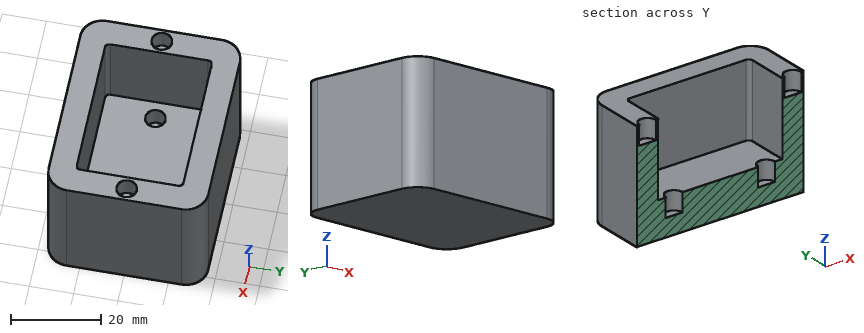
import cadquery as cq

length = 46.0
width = 36.0
height = 30.0
corner_radius = 5.0

wall = 6.0
pocket_length = length - 2 * wall
pocket_width = width - 2 * wall
pocket_depth = 20.0
pocket_corner_radius = 1.0

hole_diameter = 4.5
hole_depth = 5.0
rim_hole_spacing = 40.0
floor_hole_spacing = 25.45

floor_height = height - pocket_depth


def rounded_block(x_size, y_size, z_size, radius):
    """Block standing on Z = 0 with rounded vertical edges."""
    block = cq.Workplane("XY").box(x_size, y_size, z_size, centered=(True, True, False))
    return block.edges("|Z").fillet(radius)


def blind_hole_pair(spacing, top):
    """Two cylinders, one on each side of the centre, reaching down from the given height."""
    centres = [(-spacing / 2, 0), (spacing / 2, 0)]
    plane = cq.Workplane("XY").workplane(offset=top)
    return plane.pushPoints(centres).circle(hole_diameter / 2).extrude(-hole_depth)


body = rounded_block(length, width, height, corner_radius)
pocket = rounded_block(pocket_length, pocket_width, pocket_depth, pocket_corner_radius)
pocket = pocket.translate((0, 0, floor_height))

result = (
    body.cut(pocket)
    .cut(blind_hole_pair(rim_hole_spacing, height))
    .cut(blind_hole_pair(floor_hole_spacing, floor_height))
)